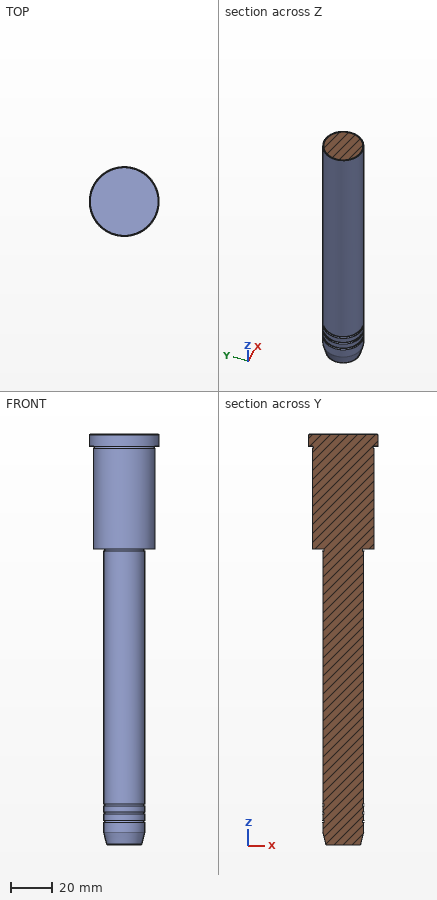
import cadquery as cq

total_length = 200.0
head_radius = 17.0
sleeve_radius = 15.0
shaft_radius = 10.0

head_height = 6.0
head_chamfer = 0.5
sleeve_end_depth = 56.0

relief_width = 1.0
relief_depth = 0.3
neck_length = 1.0
neck_radius = 9.5

groove_count = 3
lowest_groove_bottom = 11.0
groove_pitch = 4.0
groove_radius = 0.5

nose_length = 6.0
nose_end_radius = 8.5
tip_chamfer = 0.5

head_bottom = total_length - head_height
sleeve_bottom = total_length - sleeve_end_depth


def cylinder(radius, bottom, top):
    """Solid cylinder on the Z axis between two heights."""
    return cq.Workplane("XY").workplane(offset=bottom).circle(radius).extrude(top - bottom)


def round_groove_cutter(outer_radius, center_height, section_radius):
    """Torus that removes a half-round groove from a cylinder of the given radius."""
    section = cq.Workplane("XZ").center(outer_radius, center_height).circle(section_radius)
    return section.revolve(360, (-outer_radius, 0, 0), (-outer_radius, 1, 0))


head = cylinder(head_radius, head_bottom, total_length).faces(">Z").edges().chamfer(head_chamfer)

relief_bottom = head_bottom - relief_width
relief_floor = (sleeve_radius - relief_depth, head_bottom - relief_width / 2)
sleeve = (
    cq.Workplane("XZ")
    .moveTo(0, sleeve_bottom)
    .lineTo(sleeve_radius, sleeve_bottom)
    .lineTo(sleeve_radius, relief_bottom)
    .threePointArc(relief_floor, (sleeve_radius, head_bottom))
    .lineTo(0, head_bottom)
    .close()
    .revolve(360, (0, 0, 0), (0, 1, 0))
)

neck_bottom = sleeve_bottom - neck_length
neck = cylinder(neck_radius, neck_bottom, sleeve_bottom)
shaft = cylinder(shaft_radius, nose_length, neck_bottom).union(neck)
for index in range(groove_count):
    groove_height = lowest_groove_bottom + groove_radius + index * groove_pitch
    shaft = shaft.cut(round_groove_cutter(shaft_radius, groove_height, groove_radius))

nose = (
    cq.Workplane("XZ")
    .lineTo(nose_end_radius - tip_chamfer, 0)
    .lineTo(nose_end_radius, tip_chamfer)
    .lineTo(shaft_radius, nose_length)
    .lineTo(0, nose_length)
    .close()
    .revolve(360, (0, 0, 0), (0, 1, 0))
)

result = head.union(sleeve).union(shaft).union(nose)